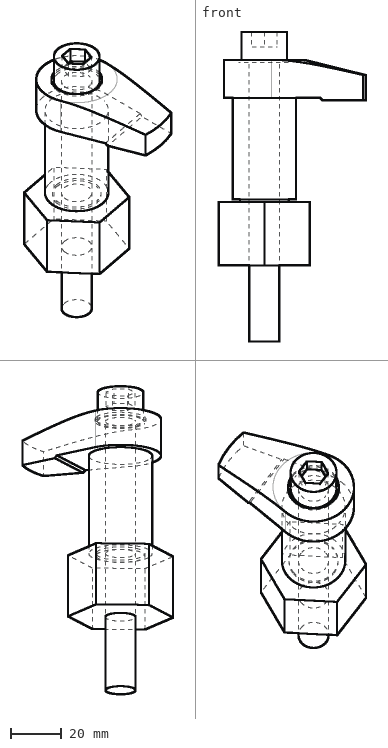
import cadquery as cq
import math

HEX_BOTTOM = 30.0
HEX_TOP = 55.0
SLEEVE_BOTTOM = 56.0
LEVER_BOTTOM = 96.0
LEVER_TOP = 111.0
SCREW_TOP = 122.0

SHANK_DIAMETER = 12.0
HEAD_DIAMETER = 18.0
HEAD_HEIGHT = 12.0
SOCKET_ACROSS_FLATS = 10.0
SOCKET_DEPTH = 6.0
HEAD_SEAT = SCREW_TOP - HEAD_HEIGHT

HEX_ACROSS_FLATS = 36.0
NECK_DIAMETER = 19.3

SLEEVE_DIAMETER = 25.0
BOSS_RADIUS = 16.0
RECESS_DIAMETER = 20.0
ARM_REACH = 40.0
ARM_END_WIDTH = 18.0
ARM_END_TOP = 105.0
PAD_DROP = 1.0
PAD_START = 22.0


def hexagon(across_flats, bottom, height):
    """Hexagonal prism on the Z axis with two flats facing along X."""
    across_corners = across_flats / math.cos(math.pi / 6)
    prism = cq.Workplane("XY").polygon(6, across_corners).extrude(height)
    return prism.rotate((0, 0, 0), (0, 0, 1), 30).translate((0, 0, bottom))


def cylinder(diameter, bottom, top):
    """Round bar on the Z axis between two heights."""
    return cq.Workplane("XY").workplane(offset=bottom).circle(diameter / 2).extrude(top - bottom)


def make_screw():
    shank = cylinder(SHANK_DIAMETER, 0, HEAD_SEAT)
    head = cylinder(HEAD_DIAMETER, HEAD_SEAT, SCREW_TOP)
    socket = hexagon(SOCKET_ACROSS_FLATS, SCREW_TOP - SOCKET_DEPTH, SOCKET_DEPTH)
    return shank.union(head).cut(socket)


def make_hex_base():
    base = hexagon(HEX_ACROSS_FLATS, HEX_BOTTOM, HEX_TOP - HEX_BOTTOM)
    neck = cylinder(NECK_DIAMETER, HEX_TOP, SLEEVE_BOTTOM)
    bore = cylinder(SHANK_DIAMETER, HEX_BOTTOM, SLEEVE_BOTTOM)
    return base.union(neck).cut(bore)


def make_lever_plan():
    """Boss with a tapering arm: its sides are tangent to the boss and its end is an arc about Z."""
    end_y = ARM_END_WIDTH / 2
    end_x = math.sqrt(ARM_REACH**2 - end_y**2)
    tangent_angle = math.asin(end_y / ARM_REACH) + math.acos(BOSS_RADIUS / ARM_REACH)
    tangent_x = BOSS_RADIUS * math.cos(tangent_angle)
    tangent_y = BOSS_RADIUS * math.sin(tangent_angle)
    return (
        cq.Workplane("XY")
        .workplane(offset=LEVER_BOTTOM - PAD_DROP)
        .moveTo(tangent_x, -tangent_y)
        .lineTo(end_x, -end_y)
        .threePointArc((ARM_REACH, 0), (end_x, end_y))
        .lineTo(tangent_x, tangent_y)
        .threePointArc((-BOSS_RADIUS, 0), (tangent_x, -tangent_y))
        .close()
        .extrude(LEVER_TOP - LEVER_BOTTOM + PAD_DROP)
    )


def make_lever_envelope():
    """Solid of revolution that is flat over the boss and slopes as a cone over the arm."""
    pad_bottom = LEVER_BOTTOM - PAD_DROP
    return (
        cq.Workplane("XZ")
        .moveTo(0, pad_bottom)
        .lineTo(ARM_REACH, pad_bottom)
        .lineTo(ARM_REACH, ARM_END_TOP)
        .lineTo(BOSS_RADIUS, LEVER_TOP)
        .lineTo(0, LEVER_TOP)
        .close()
        .revolve(360, (0, 0, 0), (0, 1, 0))
    )


def make_pad_relief():
    """Material removed under the lever so that only the clamping pad at the arm end hangs lower."""
    pad_bottom = LEVER_BOTTOM - PAD_DROP
    return (
        cq.Workplane("XZ")
        .moveTo(-ARM_REACH, pad_bottom)
        .lineTo(PAD_START + PAD_DROP, pad_bottom)
        .lineTo(PAD_START, LEVER_BOTTOM)
        .lineTo(-ARM_REACH, LEVER_BOTTOM)
        .close()
        .extrude(ARM_REACH, both=True)
    )


def make_hook_clamp():
    lever = make_lever_plan().intersect(make_lever_envelope()).cut(make_pad_relief())
    sleeve = cylinder(SLEEVE_DIAMETER, SLEEVE_BOTTOM, LEVER_BOTTOM)
    bore = cylinder(SHANK_DIAMETER, SLEEVE_BOTTOM, LEVER_TOP)
    head_recess = cylinder(RECESS_DIAMETER, HEAD_SEAT, LEVER_TOP)
    return lever.union(sleeve).cut(bore).cut(head_recess)


screw = make_screw()
hex_base = make_hex_base()
hook_clamp = make_hook_clamp()

result = cq.Compound.makeCompound([screw.val(), hex_base.val(), hook_clamp.val()])